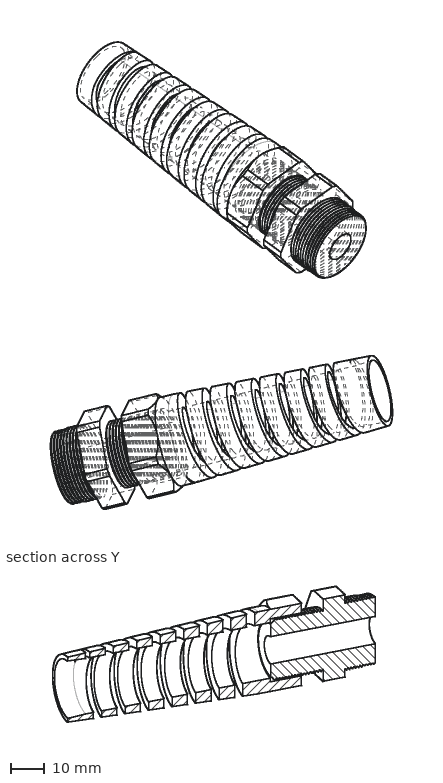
import cadquery as cq
import math

overall_length = 99.8
ring_length = 5.9
spiral_end = 61.7
collar_end = 65.8
nut_end = 75.9
flange_start = 82.8
flange_end = 89.9

across_flats = 27.0
across_corners = 29.8
corner_chamfer_length = 1.6

collar_radius = across_flats / 2
spiral_tip_radius = 10.7
ring_bore_radius = 9.3
spiral_bore_radius = 9.0
slot_width = 2.5
visible_turns = 7
slot_span = 53.4
slot_pitch = slot_span / visible_turns
slot_start = ring_length - slot_pitch
slot_turns = visible_turns + 2
slot_overcut = 2.0

gland_bore_radius = 4.4
nose_radius = 8.6
thread_pitch = 1.0
clamp_crest_radius = 10.2
clamp_root_radius = 9.6
nose_chamfer = clamp_root_radius - nose_radius
connection_crest_radius = 11.3
connection_root_radius = 10.7
lead_crest_radius = 11.1
lead_ridges = 4


def cylinder(radius, start, end):
    """Cylinder on the X axis between two X positions."""
    return cq.Workplane("YZ", origin=(start, 0, 0)).circle(radius).extrude(end - start)


def revolved(points):
    """Solid of revolution about X of an outline given as (x, radius) points."""
    outline = cq.Workplane("XZ").polyline(points).close()
    return outline.revolve(360, (0, 0, 0), (1, 0, 0))


def hexagon(start, end):
    """Hexagonal prism along X with flats at +Z and -Z and its corners turned down."""
    sharp_corners = across_flats / math.cos(math.pi / 6)
    prism = cq.Workplane("YZ", origin=(start, 0, 0)).polygon(6, sharp_corners).extrude(end - start)
    return prism.intersect(cylinder(across_corners / 2, start, end))


def spiral_slot():
    """Right-handed helical slot, limited to the stretch between the end ring and the collar."""
    inner_radius = spiral_bore_radius - slot_overcut
    outer_radius = collar_radius + slot_overcut
    path = cq.Wire.makeHelix(slot_pitch, slot_turns * slot_pitch, collar_radius)
    cutter = (
        cq.Workplane("XZ")
        .center((inner_radius + outer_radius) / 2, 0)
        .rect(outer_radius - inner_radius, slot_width)
        .sweep(cq.Workplane(path), isFrenet=True)
    )
    cutter = cutter.rotate((0, 0, 0), (0, 1, 0), 90)
    cutter = cutter.rotate((0, 0, 0), (1, 0, 0), 180)
    cutter = cutter.translate((slot_start, 0, 0))
    return cutter.intersect(cylinder(outer_radius + slot_overcut, ring_length, spiral_end))


def make_nut():
    """Cap nut with the bend protection spiral as one piece."""
    spiral = revolved([
        (0, 0),
        (0, spiral_tip_radius),
        (spiral_end, collar_radius),
        (collar_end, collar_radius),
        (collar_end, 0),
    ])
    corner_cone = revolved([
        (collar_end, 0),
        (collar_end, collar_radius),
        (collar_end + corner_chamfer_length, across_corners / 2),
        (nut_end, across_corners / 2),
        (nut_end, 0),
    ])
    bore = revolved([
        (0, 0),
        (0, ring_bore_radius),
        (ring_length, spiral_bore_radius),
        (collar_end, spiral_bore_radius),
        (collar_end, clamp_crest_radius),
        (nut_end, clamp_crest_radius),
        (nut_end, 0),
    ])
    grip = hexagon(collar_end, nut_end).intersect(corner_cone)
    return spiral.cut(spiral_slot()).union(grip).cut(bore)


def thread(start, end, root_radius, crest_radius, end_crest_radius, end_ridges):
    """Solid core with a row of V-shaped thread ridges; the last ridges may have another crest."""
    ridges = round((end - start) / thread_pitch)
    pitch = (end - start) / ridges
    points = [(start, 0), (start, root_radius)]
    for ridge in range(ridges):
        left = start + ridge * pitch
        crest = end_crest_radius if ridge >= ridges - end_ridges else crest_radius
        points.append((left + pitch / 2, crest))
        points.append((left + pitch, root_radius))
    points.append((end, 0))
    return revolved(points)


def make_gland_body():
    """Gland body: chamfered nose and clamping thread in the nut, flange, connection thread."""
    clamp_thread = thread(
        collar_end, flange_start, clamp_root_radius, clamp_crest_radius, clamp_crest_radius, 0
    )
    nose_cone = revolved([
        (collar_end, 0),
        (collar_end, nose_radius),
        (collar_end + nose_chamfer, clamp_root_radius),
        (collar_end + nose_chamfer, clamp_crest_radius),
        (flange_start, clamp_crest_radius),
        (flange_start, 0),
    ])
    connection_thread = thread(
        flange_end, overall_length,
        connection_root_radius, connection_crest_radius, lead_crest_radius, lead_ridges,
    )
    body = clamp_thread.intersect(nose_cone)
    body = body.union(hexagon(flange_start, flange_end)).union(connection_thread)
    return body.cut(cylinder(gland_bore_radius, 0, overall_length))


nut = make_nut()
gland_body = make_gland_body()

result = cq.Compound.makeCompound([nut.solids().val(), gland_body.solids().val()])